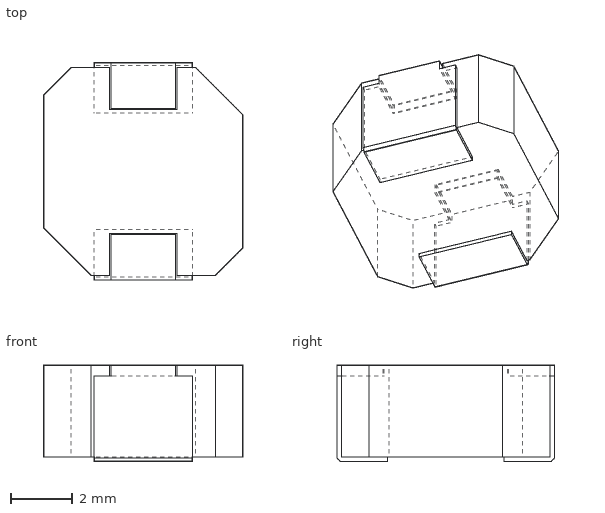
import cadquery as cq

body_length_x = 6.5
body_length_y = 6.8
body_height = 3.0
large_bevel = 1.55
small_bevel = 0.9

sheet_thickness = 0.15
terminal_width = 3.2
foot_length = 1.65
bend_chamfer = 0.1
foot_lip = 0.02
shoulder_drop = 0.35

tab_width = 2.1
tab_length = 1.5
side_gap = 0.05
end_gap = 0.03

half_x = body_length_x / 2
half_y = body_length_y / 2
outer_y = half_y + sheet_thickness
shoulder_z = body_height - shoulder_drop


def make_block(width, y_start, y_end, z_start, z_end):
    """Box centred on X, spanning the given Y and Z ranges."""
    block = cq.Workplane("XY").box(width, y_end - y_start, z_end - z_start, centered=(True, False, False))
    return block.translate((0, y_start, z_start))


def make_body():
    outline = [
        (-half_x, -half_y + large_bevel),
        (-half_x + large_bevel, -half_y),
        (half_x - small_bevel, -half_y),
        (half_x, -half_y + small_bevel),
        (half_x, half_y - large_bevel),
        (half_x - large_bevel, half_y),
        (-half_x + small_bevel, half_y),
        (-half_x, half_y - small_bevel),
    ]
    return cq.Workplane("XY").polyline(outline).close().extrude(body_height)


def make_recess():
    """Volume removed from the body top around the +Y tab."""
    recess_width = tab_width + 2 * side_gap
    recess_start = outer_y - tab_length - end_gap
    return make_block(recess_width, recess_start, outer_y, shoulder_z, body_height)


def make_terminal():
    """Terminal on the +Y face: L-shaped foot and upright plate, with the tab on top."""
    foot_z = -sheet_thickness
    chamfer_bottom_z = foot_z + foot_lip
    side_profile = [
        (half_y, shoulder_z),
        (outer_y, shoulder_z),
        (outer_y, chamfer_bottom_z + bend_chamfer),
        (outer_y - bend_chamfer, chamfer_bottom_z),
        (outer_y - bend_chamfer, foot_z),
        (outer_y - foot_length, foot_z),
        (outer_y - foot_length, 0),
        (half_y, 0),
    ]
    bent_sheet = cq.Workplane("YZ").polyline(side_profile).close().extrude(terminal_width / 2, both=True)
    tab = make_block(tab_width, outer_y - tab_length, outer_y, shoulder_z, body_height)
    return bent_sheet.union(tab)


result = make_body()
for turn in (0, 180):
    recess = make_recess().rotate((0, 0, 0), (0, 0, 1), turn)
    terminal = make_terminal().rotate((0, 0, 0), (0, 0, 1), turn)
    result = result.cut(recess).union(terminal)